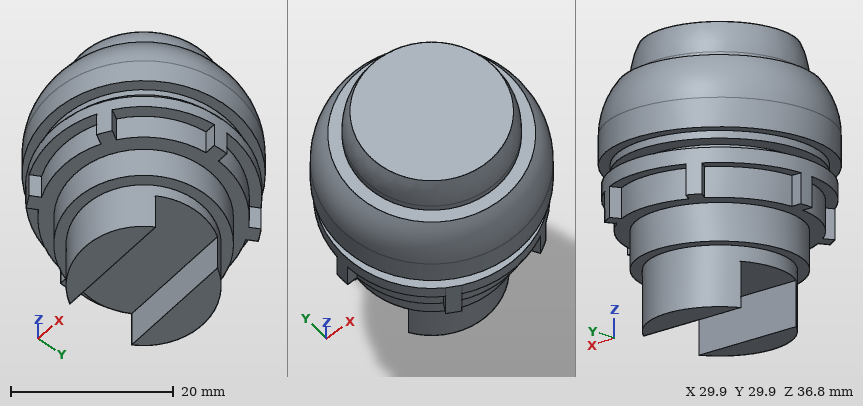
import cadquery as cq
import math

leg_radius = 9.53
barrel_radius = 11.05
collar_radius = 13.0
flange_radius = 14.55
washer_radius = 13.5
bezel_radius = 14.95
bezel_top_radius = 12.77
button_top_radius = 10.05

slot_top = 6.0
leg_top = 8.0
collar_bottom = 13.0
flange_bottom = 17.0
flange_top = 19.0
washer_bottom = 20.5
bezel_bottom = 21.5
dome_bottom = 25.3
dome_top = 31.57
crown_bottom = 32.53
total_height = 36.8

slot_width = 10.0
lug_width = 2.02
lug_count = 6
flat_lug_angle = 240


def tangent_arc_middle(radius, bottom, top_radius, top):
    """Middle of an arc that starts vertical at (radius, bottom) and leans inward."""
    inset = radius - top_radius
    rise = top - bottom
    arc_radius = (inset**2 + rise**2) / (2 * inset)
    half_sweep = math.asin(rise / arc_radius) / 2
    middle_radius = radius - arc_radius * (1 - math.cos(half_sweep))
    return (middle_radius, bottom + arc_radius * math.sin(half_sweep))


def make_turned_body():
    """Revolve the stepped barrel, domed bezel and push button about Z."""
    dome_middle = tangent_arc_middle(bezel_radius, dome_bottom, bezel_top_radius, dome_top)
    crown_middle = tangent_arc_middle(barrel_radius, crown_bottom, button_top_radius, total_height)
    return (
        cq.Workplane("XZ")
        .lineTo(leg_radius, 0)
        .lineTo(leg_radius, leg_top)
        .lineTo(barrel_radius, leg_top)
        .lineTo(barrel_radius, collar_bottom)
        .lineTo(collar_radius, collar_bottom)
        .lineTo(collar_radius, flange_bottom)
        .lineTo(flange_radius, flange_bottom)
        .lineTo(flange_radius, flange_top)
        .lineTo(barrel_radius, flange_top)
        .lineTo(barrel_radius, washer_bottom)
        .lineTo(washer_radius, washer_bottom)
        .lineTo(washer_radius, bezel_bottom)
        .lineTo(bezel_radius, bezel_bottom)
        .lineTo(bezel_radius, dome_bottom)
        .threePointArc(dome_middle, (bezel_top_radius, dome_top))
        .lineTo(barrel_radius, dome_top)
        .lineTo(barrel_radius, crown_bottom)
        .threePointArc(crown_middle, (button_top_radius, total_height))
        .lineTo(0, total_height)
        .close()
        .revolve(360, (0, 0, 0), (0, 1, 0))
    )


def make_lugs():
    """Parallel-sided spokes trimmed to the flange radius."""
    lug_height = flange_top - collar_bottom
    plane = cq.Workplane("XY").workplane(offset=collar_bottom)
    spokes = plane.rect(2 * flange_radius, lug_width).extrude(lug_height)
    for index in range(1, lug_count // 2):
        spoke = plane.rect(2 * flange_radius, lug_width).extrude(lug_height)
        spokes = spokes.union(spoke.rotate((0, 0, 0), (0, 0, 1), index * 360 / lug_count))
    return spokes.intersect(plane.circle(flange_radius).extrude(lug_height))


def make_lug_flat_cutter():
    """Block that planes one lug and the flange above it down to a chord."""
    chord_distance = math.sqrt(flange_radius**2 - (lug_width / 2) ** 2)
    return (
        cq.Workplane("XY")
        .workplane(offset=collar_bottom)
        .center(chord_distance + lug_width / 2, 0)
        .rect(lug_width, lug_width)
        .extrude(flange_top - collar_bottom)
        .rotate((0, 0, 0), (0, 0, 1), flat_lug_angle)
    )


leg_slot = cq.Workplane("XY").rect(4 * leg_radius, slot_width).extrude(slot_top)

result = make_turned_body().union(make_lugs()).cut(make_lug_flat_cutter()).cut(leg_slot)